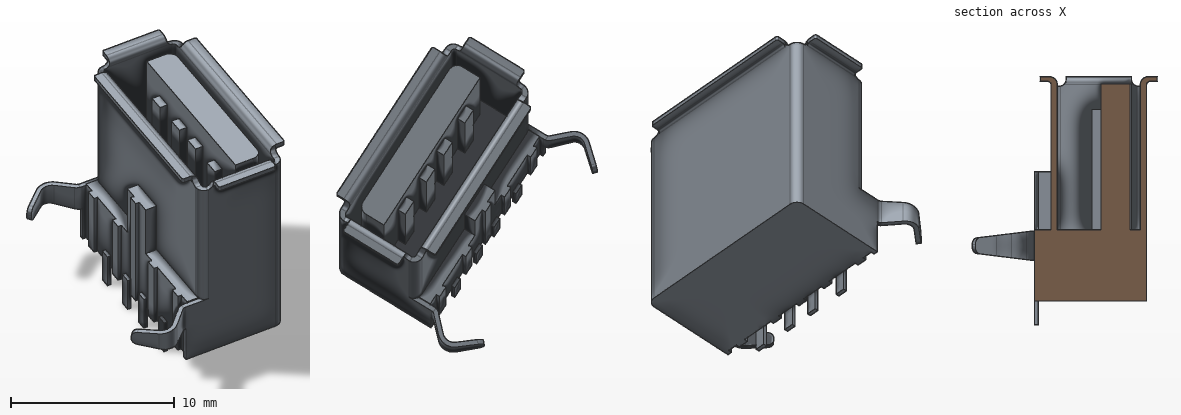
import math

import cadquery as cq


body_height = 13.7
shell_width = 13.1
shell_depth = 5.85
side_wall = 0.3
face_wall = 0.4
corner_radius = 0.58
inner_corner_radius = 0.2
half_width = shell_width / 2
half_depth = shell_depth / 2
inner_half_width = half_width - side_wall
inner_half_depth = half_depth - face_wall

lip_thickness = 0.3
lip_bend_radius = 0.5
lip_inner_radius = lip_bend_radius - lip_thickness
lip_corner_radius = 0.13
notch_depth = 0.58
face_notch_radius = 0.48
side_notch_radius = 0.4
face_lip_width = 11.0
side_lip_width = 4.0
lip_tip_y = 3.58
lip_tip_x = 7.25
rim_height = body_height - notch_depth

skirt_height = 4.36
skirt_front = -3.69
tower_width = 2.27
tower_height = 7.9
rib_front = -3.93
rib_width = 0.7
rib_centers = (2.22, 5.2)
middle_rib_width = 0.64

tongue_width = 11.0
tongue_front = 0.13
tongue_back = 2.0
tongue_height = 13.25
tongue_corner_radius = 0.6
contact_width = 0.97
contact_front = -0.4
contact_height = 11.7
contact_centers = (1.0, 3.4)

pin_width = 0.66
pin_top = 0.88
pin_bottom = -1.45
pin_centers = (1.0, 3.5)

plate_height = 4.27
plate_front = rib_front
leg_root_width = 1.79
leg_tip_width = 0.9
leg_middle = plate_height - leg_root_width / 2
leg_taper_start = -4.1
leg_bend_y = -4.1
leg_elbow_y = -5.75
leg_elbow_x = half_width + leg_bend_y - leg_elbow_y
leg_tip_angle = math.radians(49)
leg_tip_length = 2.63
leg_root_radius = 0.3
leg_elbow_radius = 0.96
leg_tip_fillet = 0.43


def block(x_range, y_range, z_range):
    """Box given by its limits along each axis."""
    size = [high - low for low, high in (x_range, y_range, z_range)]
    corner = cq.Vector(x_range[0], y_range[0], z_range[0])
    return cq.Workplane(obj=cq.Solid.makeBox(*size, corner))


def upright_bar(center, width, y_range, z_range):
    """Box centred on a given X position."""
    return block((center - width / 2, center + width / 2), y_range, z_range)


def mirrored_positions(centers):
    """Every position on both sides of X = 0."""
    return [side * center for side in (-1, 1) for center in centers]


def make_shell():
    outer = cq.Workplane().rect(shell_width, shell_depth).extrude(rim_height)
    outer = outer.edges("|Z").fillet(corner_radius)
    cavity = cq.Workplane().rect(2 * inner_half_width, 2 * inner_half_depth).extrude(rim_height)
    return outer.cut(cavity.edges("|Z").fillet(inner_corner_radius))


def make_lip(inner_face, outer_face, tip, width, notch_radius):
    """Lip on the +Y wall: rises from the rim, bends outward and flares into the rim along the wall."""
    bend_offset = lip_bend_radius * (1 - math.sqrt(0.5))
    underside = body_height - lip_thickness
    inner_offset = lip_inner_radius * (1 - math.sqrt(0.5))
    flared_half = width / 2 + notch_radius
    section = (
        cq.Workplane("YZ", origin=(-flared_half, 0, 0))
        .moveTo(inner_face, rim_height)
        .lineTo(inner_face, body_height - lip_bend_radius)
        .threePointArc(
            (inner_face + bend_offset, body_height - bend_offset),
            (inner_face + lip_bend_radius, body_height),
        )
        .lineTo(tip, body_height)
        .lineTo(tip, underside)
        .lineTo(outer_face + lip_inner_radius, underside)
        .threePointArc(
            (outer_face + inner_offset, underside - inner_offset),
            (outer_face, underside - lip_inner_radius),
        )
        .lineTo(outer_face, rim_height)
        .close()
        .extrude(2 * flared_half)
    )
    flare_offset = notch_radius * (1 - math.sqrt(0.5))
    flared_wall = (
        cq.Workplane("XZ")
        .moveTo(-flared_half, rim_height)
        .threePointArc(
            (-width / 2 - flare_offset, rim_height + flare_offset),
            (-width / 2, rim_height + notch_radius),
        )
        .lineTo(-width / 2, body_height)
        .lineTo(width / 2, body_height)
        .lineTo(width / 2, rim_height + notch_radius)
        .threePointArc(
            (width / 2 + flare_offset, rim_height + flare_offset),
            (flared_half, rim_height),
        )
        .close()
        .extrude(-outer_face)
    )
    overhang = upright_bar(0, width, (outer_face, tip), (rim_height, body_height))
    lip = section.intersect(flared_wall.union(overhang))
    return lip.faces(">Y").edges("|Z").fillet(lip_corner_radius)


def make_insulator():
    core = block(
        (-inner_half_width, inner_half_width), (skirt_front, inner_half_depth), (0, skirt_height)
    )
    tower = upright_bar(0, tower_width, (skirt_front, -inner_half_depth), (0, tower_height))
    middle_rib = upright_bar(0, middle_rib_width, (rib_front, -inner_half_depth), (0, tower_height))
    insulator = core.union(tower).union(middle_rib)
    for center in mirrored_positions(rib_centers):
        insulator = insulator.union(upright_bar(center, rib_width, (rib_front, 0), (0, skirt_height)))
    return insulator


def make_tongue():
    tongue = upright_bar(0, tongue_width, (tongue_front, tongue_back), (0, tongue_height))
    tongue = tongue.faces(">Y").edges("|Z").fillet(tongue_corner_radius)
    for center in mirrored_positions(contact_centers):
        contact = upright_bar(center, contact_width, (contact_front, tongue_back), (0, contact_height))
        tongue = tongue.union(contact)
    return tongue


def make_pins():
    pins = cq.Workplane()
    for center in mirrored_positions(pin_centers):
        pins = pins.add(upright_bar(center, pin_width, (rib_front, skirt_front), (pin_bottom, pin_top)))
    return pins.combine()


def inner_corner(corner, normal_before, normal_after):
    """Mitred corner of the inner face of a sheet whose outer face turns at the given corner."""
    bisector = (normal_before + normal_after) / (1 + normal_before.dot(normal_after))
    return corner + bisector * side_wall


def round_corner(body, corner, radius):
    """Fillet the upright edge nearest to a plan position."""
    nearest = cq.selectors.NearestToPointSelector((corner.x, corner.y, plate_height / 2))
    return body.edges("|Z").edges(nearest).fillet(radius)


def make_leg():
    """Spring leg of the +X side: a strip bent outward, then back inward, tapering to a round tip."""
    root = cq.Vector(half_width, plate_front)
    bend = cq.Vector(half_width, leg_bend_y)
    elbow = cq.Vector(leg_elbow_x, leg_elbow_y)
    tip_direction = cq.Vector(-math.cos(leg_tip_angle), -math.sin(leg_tip_angle))
    tip = elbow + tip_direction * leg_tip_length

    root_normal = cq.Vector(-1, 0)
    slant_normal = cq.Vector(-math.sqrt(0.5), -math.sqrt(0.5))
    tip_normal = cq.Vector(-math.sin(leg_tip_angle), math.cos(leg_tip_angle))
    inner_root = root + root_normal * side_wall
    inner_bend = inner_corner(bend, root_normal, slant_normal)
    inner_elbow = inner_corner(elbow, slant_normal, tip_normal)
    inner_tip = tip + tip_normal * side_wall

    plan = [root, bend, elbow, tip, inner_tip, inner_elbow, inner_bend, inner_root]
    strip = cq.Workplane().polyline(plan).close().extrude(plate_height)
    strip = round_corner(strip, bend, leg_root_radius)
    strip = round_corner(strip, inner_bend, leg_root_radius + side_wall)
    strip = round_corner(strip, elbow, leg_elbow_radius)
    strip = round_corner(strip, inner_elbow, leg_elbow_radius - side_wall)

    taper = (
        cq.Workplane("YZ")
        .polyline([
            (plate_front, leg_middle + leg_root_width / 2),
            (leg_taper_start, leg_middle + leg_root_width / 2),
            (tip.y, leg_middle + leg_tip_width / 2),
            (tip.y, leg_middle - leg_tip_width / 2),
            (leg_taper_start, leg_middle - leg_root_width / 2),
            (plate_front, leg_middle - leg_root_width / 2),
        ])
        .close()
        .extrude(leg_elbow_x)
    )
    leg = strip.intersect(taper)
    tip_center = (tip + inner_tip) / 2 + cq.Vector(0, 0, leg_middle)
    tip_face = leg.faces(cq.selectors.NearestToPointSelector(tip_center.toTuple()))
    return tip_face.edges("not |Z").fillet(leg_tip_fillet)


def make_side():
    """Lower side plate of the +X wall with its spring leg."""
    plate = block((inner_half_width, half_width), (plate_front, 0), (0, plate_height))
    return plate.union(make_leg())


face_lip = make_lip(inner_half_depth, half_depth, lip_tip_y, face_lip_width, face_notch_radius)
side_lip = make_lip(inner_half_width, half_width, lip_tip_x, side_lip_width, side_notch_radius)
side_lip = side_lip.rotate((0, 0, 0), (0, 0, 1), -90)
side = make_side()

result = make_shell().union(make_insulator()).union(make_tongue()).union(make_pins())
result = result.union(face_lip).union(face_lip.mirror("XZ"))
result = result.union(side_lip).union(side_lip.mirror("YZ"))
result = result.union(side).union(side.mirror("YZ"))